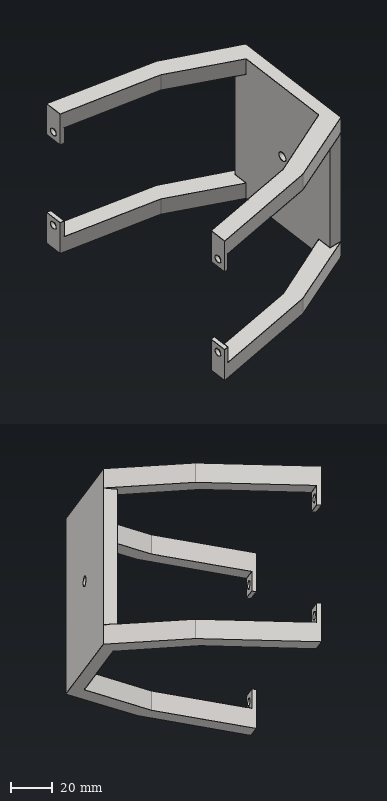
import cadquery as cq

width = 130.0
depth = 100.0
height = 90.0

plate_width = 69.4
plate_thickness = 7.0
arm_height = 10.0
arm_tip_width = 10.0
inner_plate_width = 52.9
outer_knee_width = 106.9
outer_knee_setback = 40.4
inner_knee_width = 89.2
inner_knee_setback = 45.2

tab_height = 20.0
tab_thickness = 2.5
tab_hole_diameter = 4.2
tab_hole_inset = 15.0
plate_hole_diameter = 5.1

back = depth / 2
front = -depth / 2
tip_inner_x = width / 2 - arm_tip_width


def mirrored_outline(right_points):
    """Close a right-hand chain of points with its mirror image about X = 0."""
    left_points = [(-x, y) for x, y in reversed(right_points)]
    return right_points + left_points


outer_side = [
    (plate_width / 2, back),
    (outer_knee_width / 2, back - outer_knee_setback),
    (width / 2, front),
]
inner_side = [
    (tip_inner_x, front),
    (inner_knee_width / 2, back - inner_knee_setback),
    (inner_plate_width / 2, back - plate_thickness),
]


def frame(frame_height):
    """Bent U-shaped frame standing on Z = 0."""
    outline = mirrored_outline(outer_side + inner_side)
    return cq.Workplane("XY").polyline(outline).close().extrude(frame_height)


def centred_box(x_size, y_size, z_size, y_centre):
    return cq.Workplane("XY").box(x_size, y_size, z_size).translate((0, y_centre, 0))


def hole_along_y(x, z, diameter):
    """Cutter running the full depth of the part."""
    circle = cq.Workplane("XZ").center(x, z).circle(diameter / 2)
    return circle.extrude(depth, both=True)


full_frame = frame(height).translate((0, 0, -height / 2))
plate = centred_box(plate_width, plate_thickness, height, back - plate_thickness / 2)
tab_zone = centred_box(width, tab_thickness, height, front + tab_thickness / 2)
tab_gap = centred_box(width, depth, height - 2 * tab_height, 0)
tabs = full_frame.intersect(tab_zone).cut(tab_gap)

lower_frame = frame(arm_height).translate((0, 0, -height / 2))
upper_frame = frame(arm_height).translate((0, 0, height / 2 - arm_height))

result = plate.union(lower_frame).union(upper_frame).union(tabs)

result = result.cut(hole_along_y(0, 0, plate_hole_diameter))
tab_hole_x = width / 2 - arm_tip_width / 2
tab_hole_z = height / 2 - tab_hole_inset
for x in (-tab_hole_x, tab_hole_x):
    for z in (-tab_hole_z, tab_hole_z):
        result = result.cut(hole_along_y(x, z, tab_hole_diameter))